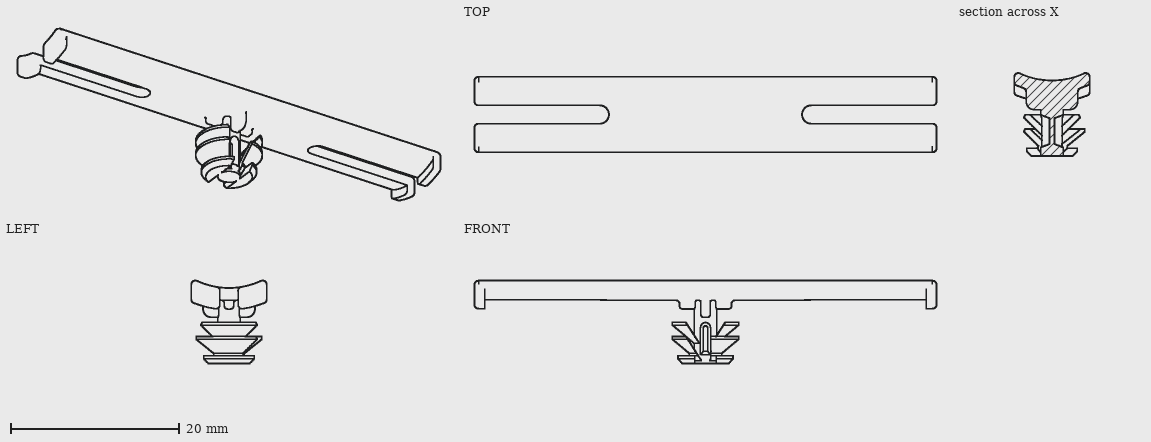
import cadquery as cq
import math

TOTAL_HEIGHT = 9.9
BAR_LENGTH = 55.0
BAR_WIDTH = 9.0
BAR_THICKNESS = 1.5
TOP_RADIUS = 9.0
EDGE_RADIUS = 0.5
LIP_DEPTH = 1.1
LIP_LENGTH = 1.25
BAR_BOTTOM_RADIUS = TOP_RADIUS + BAR_THICKNESS
LIP_BOTTOM_RADIUS = BAR_BOTTOM_RADIUS + LIP_DEPTH
CREST_Y = BAR_WIDTH / 2 - EDGE_RADIUS
ARCH_AXIS_Z = TOTAL_HEIGHT - EDGE_RADIUS + math.sqrt((TOP_RADIUS + EDGE_RADIUS) ** 2 - CREST_Y ** 2)
BAR_BOTTOM_Z = ARCH_AXIS_Z - BAR_BOTTOM_RADIUS

SLOT_WIDTH = 2.15
SLOT_LENGTH = 16.0

STEM_DIAMETER = 2.7
RIB_REACH = 3.1
RIB_THICKNESS = 1.1
RIB_ROUND = 0.35
RIB_ROOT_FILLET = 0.4
CLEARANCE = 0.05
LENGTH_RIB_BOTTOM = 6.5
CROSS_RIB_BOTTOM = 5.5
CROSS_RIB_CORNER = 1.0

GROOVE_BOTTOM = 1.05
GROOVE_TOP = 4.9
GROOVE_MOUTH = 1.3
GROOVE_FLOOR = 0.5
GROOVE_FLOOR_Y = 0.3

BARB_RADIUS = 3.97
BARB_RIM = 0.35
BARB_WALL = 0.45
BARB_SLOPE = 0.83
UPPER_BARB_TOP = 4.93
LOWER_BARB_TOP = 3.25
NECK_RADIUS = 1.95
NECK_ROOT_Z = 0.35

VEE_SLOPE = 1.55
VEE_HALF_WIDTH = 2.35
FULL_SECTOR_X = GROOVE_MOUTH / 2

FOOT_RADIUS = 3.3
FOOT_BOTTOM_RADIUS = 2.77
FOOT_RIM_BOTTOM = 0.6
FOOT_TOP = 0.95
FOOT_GAP = 2.6


def arch_z(radius, y):
    """Height of an arched face at a distance y from the middle plane."""
    return ARCH_AXIS_Z - math.sqrt(radius ** 2 - y ** 2)


def end_slot():
    """Slot with a round inner end, open at the -X end of the bar."""
    inner_x = SLOT_LENGTH - SLOT_WIDTH / 2 - BAR_LENGTH / 2
    outer_x = -BAR_LENGTH
    straight = cq.Workplane("XY").center((inner_x + outer_x) / 2, 0).rect(inner_x - outer_x, SLOT_WIDTH)
    round_end = cq.Workplane("XY").center(inner_x, 0).circle(SLOT_WIDTH / 2)
    height = 2 * TOTAL_HEIGHT
    return straight.extrude(height).union(round_end.extrude(height))


def arched_blank():
    """Bar as deep as its end lips, with every outer edge rounded."""
    side = BAR_WIDTH / 2
    top_z = arch_z(TOP_RADIUS, side)
    bottom_z = arch_z(LIP_BOTTOM_RADIUS, side)
    blank = (
        cq.Workplane("YZ")
        .moveTo(-side, bottom_z)
        .threePointArc((0, ARCH_AXIS_Z - LIP_BOTTOM_RADIUS), (side, bottom_z))
        .lineTo(side, top_z)
        .threePointArc((0, ARCH_AXIS_Z - TOP_RADIUS), (-side, top_z))
        .close()
        .extrude(BAR_LENGTH / 2, both=True)
    )
    slot = end_slot()
    blank = blank.cut(slot).cut(slot.mirror("YZ"))
    end_edges = blank.faces("<X or >X").edges("|Z")
    blank = end_edges.fillet(EDGE_RADIUS)
    arch_edges = blank.faces("%CYLINDER").edges("not |Z")
    return arch_edges.fillet(EDGE_RADIUS)


def underside_pocket():
    """Space between the end lips, bounded above by the arched underside with rounded long edges."""
    side = BAR_WIDTH / 2
    round_z = ARCH_AXIS_Z - math.sqrt((BAR_BOTTOM_RADIUS - EDGE_RADIUS) ** 2 - CREST_Y ** 2)
    tangent = BAR_BOTTOM_RADIUS / (BAR_BOTTOM_RADIUS - EDGE_RADIUS)
    tangent_y = CREST_Y * tangent
    tangent_z = ARCH_AXIS_Z - (ARCH_AXIS_Z - round_z) * tangent
    mid_angle = math.atan2(tangent_z - round_z, tangent_y - CREST_Y) / 2
    mid_y = CREST_Y + EDGE_RADIUS * math.cos(mid_angle)
    mid_z = round_z + EDGE_RADIUS * math.sin(mid_angle)
    return (
        cq.Workplane("YZ")
        .moveTo(-side, round_z)
        .threePointArc((-mid_y, mid_z), (-tangent_y, tangent_z))
        .threePointArc((0, BAR_BOTTOM_Z), (tangent_y, tangent_z))
        .threePointArc((mid_y, mid_z), (side, round_z))
        .lineTo(BAR_WIDTH, round_z)
        .lineTo(BAR_WIDTH, 0)
        .lineTo(-BAR_WIDTH, 0)
        .lineTo(-BAR_WIDTH, round_z)
        .close()
        .extrude(BAR_LENGTH / 2 - LIP_LENGTH, both=True)
    )


def make_bar():
    return arched_blank().cut(underside_pocket())


def vee_relief(top_z):
    """Wedge along Y that opens upward from the stem axis to the rim of a barb."""
    apex_z = top_z - VEE_HALF_WIDTH * VEE_SLOPE
    return (
        cq.Workplane("XZ")
        .polyline([(-VEE_HALF_WIDTH, top_z), (0, apex_z), (VEE_HALF_WIDTH, top_z)])
        .close()
        .extrude(BAR_WIDTH, both=True)
    )


def revolved(points):
    return cq.Workplane("XZ").polyline(points).close().revolve(360, (0, 0, 0), (0, 1, 0))


def full_sectors(solid):
    """Two opposite quarters of a barb, (+X, -Y) and (-X, +Y), kept outside the stem grooves."""
    size = 2 * BARB_RADIUS
    corner = cq.Workplane("XY").box(size, size, 2 * size, centered=False)
    quarter = corner.translate((FULL_SECTOR_X, -size, -size))
    opposite = quarter.rotate((0, 0, 0), (0, 0, 1), 180)
    return solid.intersect(quarter.union(opposite))


def barb_shell(top_z):
    """Hollow cone that widens upward from the stem and ends in a narrow flat rim."""
    edge_z = top_z - BARB_RIM
    mouth_radius = BARB_RADIUS - BARB_WALL
    stem_radius = STEM_DIAMETER / 2
    root_z = edge_z - (BARB_RADIUS - stem_radius) * BARB_SLOPE
    floor_z = top_z - (mouth_radius - stem_radius) * BARB_SLOPE
    return revolved([
        (0, root_z),
        (stem_radius, root_z),
        (BARB_RADIUS, edge_z),
        (BARB_RADIUS, top_z),
        (mouth_radius, top_z),
        (stem_radius, floor_z),
        (0, floor_z),
    ])


def make_barbs():
    upper = barb_shell(UPPER_BARB_TOP).cut(vee_relief(UPPER_BARB_TOP))
    neck_top = LOWER_BARB_TOP - BARB_RIM - (BARB_RADIUS - NECK_RADIUS) * BARB_SLOPE
    stem_radius = STEM_DIAMETER / 2
    neck = revolved([
        (0, NECK_ROOT_Z),
        (stem_radius, NECK_ROOT_Z),
        (NECK_RADIUS, FOOT_TOP),
        (NECK_RADIUS, neck_top),
        (0, neck_top),
    ])
    lower = barb_shell(LOWER_BARB_TOP).union(neck)
    lower = lower.cut(vee_relief(LOWER_BARB_TOP)).union(full_sectors(lower))
    return upper.union(lower)


def make_foot():
    """Chamfered disc with a gap across its middle, on both sides of the stem."""
    disc = revolved([
        (0, 0),
        (FOOT_BOTTOM_RADIUS, 0),
        (FOOT_RADIUS, FOOT_RIM_BOTTOM),
        (FOOT_RADIUS, FOOT_TOP),
        (0, FOOT_TOP),
    ])
    gap = cq.Workplane("XY").rect(FOOT_GAP, 2 * FOOT_RADIUS).extrude(FOOT_TOP)
    return disc.cut(gap)


def make_ribs():
    """Cross of two ribs under the bar: a shallow one along X and a deeper one along Y."""
    top_z = arch_z(TOP_RADIUS, 0) - CLEARANCE
    along_x = cq.Workplane("XY").box(
        2 * RIB_REACH, RIB_THICKNESS, top_z - LENGTH_RIB_BOTTOM, centered=(True, True, False)
    )
    along_x = along_x.edges("|Z or <Z").fillet(RIB_ROUND)
    along_y = cq.Workplane("XY").box(
        RIB_THICKNESS, 2 * RIB_REACH, top_z - CROSS_RIB_BOTTOM, centered=(True, True, False)
    )
    along_y = along_y.edges("<Z and |X").fillet(CROSS_RIB_CORNER)
    along_y = along_y.edges("<X or >X").edges("not >Z").fillet(RIB_ROUND)
    return (
        along_x.translate((0, 0, LENGTH_RIB_BOTTOM))
        .union(along_y.translate((0, 0, CROSS_RIB_BOTTOM)))
    )


def make_bar_with_ribs():
    """Bar joined to its ribs, with a fillet where the ribs meet the arched underside."""
    body = make_bar().union(make_ribs())
    reach = RIB_REACH + CLEARANCE
    rib_end_z = arch_z(BAR_BOTTOM_RADIUS, RIB_REACH)
    window = cq.selectors.BoxSelector(
        (-reach, -reach, BAR_BOTTOM_Z - CLEARANCE),
        (reach, reach, rib_end_z + CLEARANCE),
        boundingbox=True,
    )
    return body.edges(window).fillet(RIB_ROOT_FILLET)


def stem_groove():
    """Tapered groove with a round top in the -Y side of the stem."""
    straight_top = GROOVE_TOP - GROOVE_MOUTH / 2
    mouth = GROOVE_MOUTH / 2
    depth = STEM_DIAMETER / 2 - GROOVE_FLOOR_Y
    taper = math.degrees(math.atan((GROOVE_MOUTH - GROOVE_FLOOR) / 2 / depth))
    return (
        cq.Workplane("XZ", origin=(0, -STEM_DIAMETER / 2, 0))
        .moveTo(-mouth, GROOVE_BOTTOM)
        .lineTo(mouth, GROOVE_BOTTOM)
        .lineTo(mouth, straight_top)
        .threePointArc((0, GROOVE_TOP), (-mouth, straight_top))
        .close()
        .extrude(-depth, taper=taper)
    )


def make_stem():
    height = BAR_BOTTOM_Z + BAR_THICKNESS / 2
    stem = cq.Workplane("XY").circle(STEM_DIAMETER / 2).extrude(height)
    stem = stem.union(make_barbs()).union(make_foot())
    groove = stem_groove()
    return stem.cut(groove).cut(groove.mirror("XZ"))


result = make_bar_with_ribs().union(make_stem())